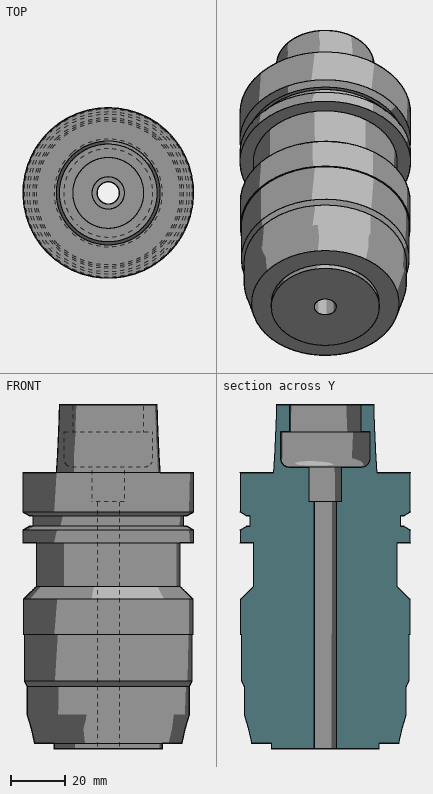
import cadquery as cq

TOTAL_HEIGHT = 127.0
NOSE_LIP_TOP = 2.0
NOSE_CONE_TOP = 12.7
NOSE_TOP = 23.1
SLEEVE_BOTTOM = 25.1
SLEEVE_SPLIT = 42.2
SHOULDER_BOTTOM = 55.2
SHOULDER_TOP = 60.0
FLANGE_BOTTOM = 76.1
GROOVE_OUTER_BOTTOM = 80.8
GROOVE_OUTER_TOP = 87.4
FLANGE_TOP = 102.0

NOSE_LIP_RADIUS = 20.0
NOSE_END_RADIUS = 27.2
NOSE_RADIUS = 30.0
LOWER_SLEEVE_RADIUS = 31.0
UPPER_SLEEVE_RADIUS = 31.4
NECK_RADIUS = 26.5
FLANGE_RADIUS = 31.5
SHANK_BASE_RADIUS = 19.2
SHANK_TOP_RADIUS = 18.0

GROOVE_RADIUS = 27.8
GROOVE_BEVEL_WIDTH = 2.4
GROOVE_BEVEL_HEIGHT = 1.4

MOUTH_RADIUS = 13.1
MOUTH_DEPTH = 10.0
CHAMBER_RADIUS = 16.4
CHAMBER_FILLET = 3.0
CHAMBER_WALL_END_DEPTH = 20.0
CHAMBER_DEPTH = CHAMBER_WALL_END_DEPTH + CHAMBER_FILLET
COUNTERBORE_RADIUS = 6.0
COUNTERBORE_DEPTH = 12.7
THROUGH_RADIUS = 4.1


def outer_body():
    """Revolve the outer half-profile, from the nose face up to the top of the shank."""
    bevel_radius = FLANGE_RADIUS - GROOVE_BEVEL_WIDTH
    groove_bottom = GROOVE_OUTER_BOTTOM + GROOVE_BEVEL_HEIGHT
    groove_top = GROOVE_OUTER_TOP - GROOVE_BEVEL_HEIGHT
    profile = [
        (0, 0),
        (NOSE_LIP_RADIUS, 0),
        (NOSE_LIP_RADIUS, NOSE_LIP_TOP),
        (NOSE_END_RADIUS, NOSE_LIP_TOP),
        (NOSE_RADIUS, NOSE_CONE_TOP),
        (NOSE_RADIUS, NOSE_TOP),
        (LOWER_SLEEVE_RADIUS, SLEEVE_BOTTOM),
        (LOWER_SLEEVE_RADIUS, SLEEVE_SPLIT),
        (UPPER_SLEEVE_RADIUS, SLEEVE_SPLIT),
        (UPPER_SLEEVE_RADIUS, SHOULDER_BOTTOM),
        (NECK_RADIUS, SHOULDER_TOP),
        (NECK_RADIUS, FLANGE_BOTTOM),
        (FLANGE_RADIUS, FLANGE_BOTTOM),
        (FLANGE_RADIUS, GROOVE_OUTER_BOTTOM),
        (bevel_radius, groove_bottom),
        (GROOVE_RADIUS, groove_bottom),
        (GROOVE_RADIUS, groove_top),
        (bevel_radius, groove_top),
        (FLANGE_RADIUS, GROOVE_OUTER_TOP),
        (FLANGE_RADIUS, FLANGE_TOP),
        (SHANK_BASE_RADIUS, FLANGE_TOP),
        (SHANK_TOP_RADIUS, TOTAL_HEIGHT),
        (0, TOTAL_HEIGHT),
    ]
    return cq.Workplane("YZ").polyline(profile).close().revolve(360, (0, 0), (0, 1))


def bore(radius, bottom, top):
    """Return a cylinder on the part axis between two heights, used as a cutter."""
    return cq.Workplane("XY").workplane(offset=bottom).circle(radius).extrude(top - bottom)


def hollow():
    """Build the stepped cavity: mouth, undercut clamping chamber, counterbore and through hole."""
    chamber_top = TOTAL_HEIGHT - MOUTH_DEPTH
    chamber_floor = TOTAL_HEIGHT - CHAMBER_DEPTH
    mouth = bore(MOUTH_RADIUS, chamber_top, TOTAL_HEIGHT)
    chamber = bore(CHAMBER_RADIUS, chamber_floor, chamber_top).faces("<Z").edges().fillet(CHAMBER_FILLET)
    counterbore = bore(COUNTERBORE_RADIUS, chamber_floor - COUNTERBORE_DEPTH, chamber_floor)
    through_hole = bore(THROUGH_RADIUS, 0, TOTAL_HEIGHT)
    return mouth.union(chamber).union(counterbore).union(through_hole)


result = outer_body().cut(hollow())